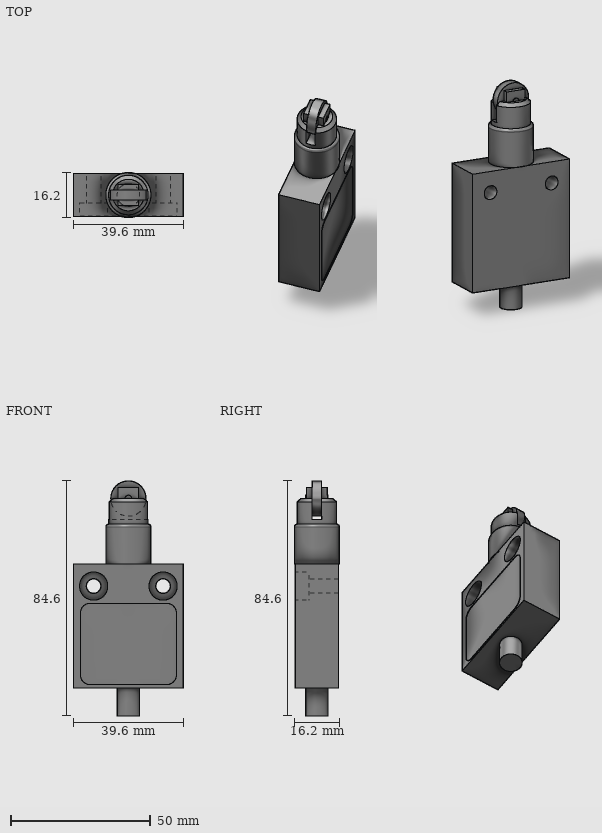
import cadquery as cq

body_width = 39.6
body_depth = 15.6
body_height = 44.7
body_bottom = 10.1
body_top = body_bottom + body_height
front_y = -body_depth / 2

cable_radius = 4.1
collar_radius = 8.1
collar_top = 69.0
plunger_radius = 7.1
collar_rounding = collar_radius - plunger_radius
plunger_top = 78.3
plunger_bevel_height = 1.3
plunger_bevel_width = 1.4

total_height = 84.6
roller_radius = 6.35
roller_width = 3.5
roller_z = total_height - roller_radius
slot_floor = 70.7
block_width = 7.45
block_depth = 7.5
block_top = 82.2
axle_radius = 1.2
axle_length = 8.0

hole_spacing = 24.95
hole_z = 46.8
hole_diameter = 5.2
bore_diameter = 10.15
bore_depth = 5.0

label_width = 34.5
label_bottom = 11.3
label_top = 40.6
label_corner = 3.55
label_recess = 0.2


def upright_cylinder(radius, bottom, top):
    return cq.Workplane("XY").workplane(offset=bottom).circle(radius).extrude(top - bottom)


def cylinder_along_y(radius, length, z):
    return cq.Workplane("XZ").center(0, z).circle(radius).extrude(length / 2, both=True)


def upright_box(width, depth, bottom, top):
    return cq.Workplane("XY").workplane(offset=bottom).rect(width, depth).extrude(top - bottom)


def make_housing():
    housing = upright_box(body_width, body_depth, body_bottom, body_top)
    label_height = label_top - label_bottom
    label_cut = (
        cq.Workplane("XY")
        .box(label_width, 2 * label_recess, label_height)
        .edges("|Y")
        .fillet(label_corner)
        .translate((0, front_y, label_bottom + label_height / 2))
    )
    return (
        housing.cut(label_cut)
        .copyWorkplane(cq.Workplane("XZ", origin=(0, front_y, hole_z)))
        .pushPoints([(-hole_spacing / 2, 0), (hole_spacing / 2, 0)])
        .cboreHole(hole_diameter, bore_diameter, bore_depth)
    )


def make_plunger():
    plunger = (
        upright_cylinder(plunger_radius, body_top, plunger_top)
        .faces(">Z")
        .edges()
        .chamfer(plunger_bevel_height, plunger_bevel_width)
    )
    blocks = upright_box(block_width, block_depth, slot_floor, block_top)
    slot = upright_box(2 * plunger_radius, roller_width, slot_floor, total_height)
    return plunger.union(blocks).cut(slot)


def make_roller():
    roller = cylinder_along_y(roller_radius, roller_width, roller_z)
    axle = cylinder_along_y(axle_radius, axle_length, roller_z)
    return roller.union(axle)


cable = upright_cylinder(cable_radius, 0, body_bottom)
collar = upright_cylinder(collar_radius, body_top, collar_top).faces(">Z").edges().fillet(collar_rounding)

result = make_housing().union(cable).union(collar).union(make_plunger()).union(make_roller())